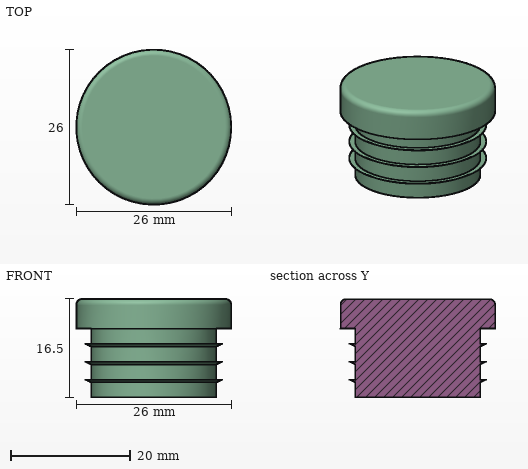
import cadquery as cq


head_diameter = 26.0
head_height = 5.0
head_edge_radius = 1.0

plug_diameter = 21.0
plug_length = 11.5

fin_diameter = 23.0
fin_thickness = 0.5
fin_count = 3
fin_pitch = 3.0
first_fin_depth = 2.5


def make_head():
    """Disc with a rounded upper edge."""
    disc = cq.Workplane("XY").circle(head_diameter / 2).extrude(head_height)
    return disc.faces(">Z").edges().fillet(head_edge_radius)


def make_plug():
    """Cylinder that enters the tube."""
    return cq.Workplane("XY").circle(plug_diameter / 2).extrude(-plug_length)


def make_fin(top_z):
    """Conical disc, widest at its flat top face."""
    fin_radius = fin_diameter / 2
    plug_radius = plug_diameter / 2
    bottom_z = top_z - fin_thickness
    return (
        cq.Workplane("XZ")
        .moveTo(0, bottom_z)
        .lineTo(plug_radius, bottom_z)
        .lineTo(fin_radius, top_z)
        .lineTo(0, top_z)
        .close()
        .revolve(360, (0, 0, 0), (0, 1, 0))
    )


result = make_head().union(make_plug())
for index in range(fin_count):
    result = result.union(make_fin(-first_fin_depth - index * fin_pitch))